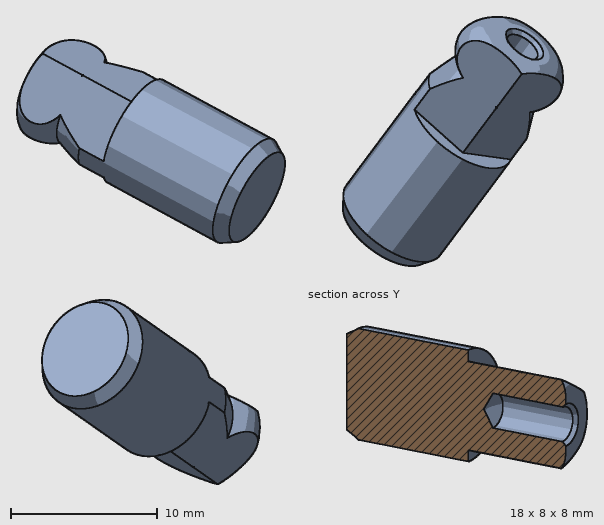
import cadquery as cq
import math

length = 18.0
diameter = 8.0
radius = diameter / 2

head_length = diameter
hex_across_flats = 5.5
flat_angles = (30, 150, 210, 330)
ball_radius = radius / 2
neck_x = 3.64
cone_end_x = 6.0

chamfer_length = 0.97
chamfer_angle = 30.0

hole_diameter = 2.45
countersink_diameter = 3.0
countersink_depth = (countersink_diameter - hole_diameter) / 2
hole_depth = 6.0
drill_point_angle = 118.0


def revolve_about_x(profile):
    return profile.close().revolve(360, (0, 0, 0), (1, 0, 0))


def turned_body():
    """Rounded end, neck, cone and shank turned as one solid."""
    arc_center_r = radius - ball_radius
    neck_offset = neck_x - ball_radius
    neck_height = math.sqrt(ball_radius**2 - neck_offset**2)
    neck_r = arc_center_r + neck_height
    mid_angle = (math.pi + math.atan2(neck_height, neck_offset)) / 2
    arc_middle = (
        ball_radius + ball_radius * math.cos(mid_angle),
        arc_center_r + ball_radius * math.sin(mid_angle),
    )
    chamfer_drop = chamfer_length * math.tan(math.radians(chamfer_angle))
    profile = (
        cq.Workplane("XY")
        .lineTo(0, arc_center_r)
        .threePointArc(arc_middle, (neck_x, neck_r))
        .lineTo(cone_end_x, radius)
        .lineTo(length - chamfer_length, radius)
        .lineTo(length, radius - chamfer_drop)
        .lineTo(length, 0)
    )
    return revolve_about_x(profile)


def hex_flat_cutters():
    """Four blocks that leave flats meeting in a ridge at the top and bottom of the head."""
    flat_distance = hex_across_flats / 2
    block = (
        cq.Workplane("XY")
        .box(head_length, 2 * diameter, diameter, centered=(False, True, False))
        .translate((0, 0, flat_distance))
    )
    return [block.rotate((0, 0, 0), (1, 0, 0), angle) for angle in flat_angles]


def blind_hole():
    """Countersunk hole with a conical drill point."""
    hole_r = hole_diameter / 2
    point_length = hole_r / math.tan(math.radians(drill_point_angle / 2))
    profile = (
        cq.Workplane("XY")
        .lineTo(0, countersink_diameter / 2)
        .lineTo(countersink_depth, hole_r)
        .lineTo(hole_depth, hole_r)
        .lineTo(hole_depth + point_length, 0)
    )
    return revolve_about_x(profile)


result = turned_body()
for cutter in hex_flat_cutters():
    result = result.cut(cutter)
result = result.cut(blind_hole())